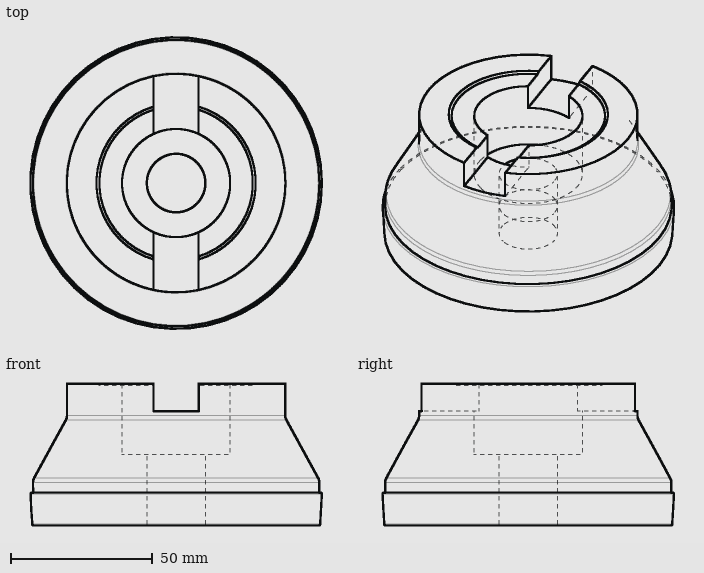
import cadquery as cq
import math

OUTER_DIAMETER = 102.7
TOTAL_HEIGHT = 50.0

BASE_HEIGHT = 11.6
BASE_BOTTOM_DIAMETER = 101.5
BASE_EDGE_RADIUS = 0.5

SKIRT_DIAMETER = 100.9
CONE_BOTTOM = 16.0
CONE_TOP = 37.9
NECK_DIAMETER = 77.0
CONE_BLEND_RADIUS = 3.1

BORE_DIAMETER = 20.5
COUNTERBORE_DIAMETER = 38.1
COUNTERBORE_FLOOR = 25.0
RECESS_TOP_DIAMETER = 56.1
RECESS_FLOOR_DIAMETER = 54.0
RECESS_DEPTH = 0.6
SLOT_WIDTH = 15.8
SLOT_FLOOR = 40.3


def cylinder(diameter, bottom, top):
    """Solid cylinder on the Z axis between two heights."""
    return cq.Workplane("XY").workplane(offset=bottom).circle(diameter / 2).extrude(top - bottom)


def revolve_profile(points):
    """Revolve a closed (radius, height) outline about the Z axis."""
    return cq.Workplane("XZ").polyline(points).close().revolve(360, (0, 0), (0, 1))


def make_base():
    """Disc that widens towards its top, with rounded rims and a central bore."""
    bottom_radius = BASE_BOTTOM_DIAMETER / 2
    top_radius = OUTER_DIAMETER / 2
    arc_inset = BASE_EDGE_RADIUS * (1 - math.sqrt(0.5))
    outline = (
        cq.Workplane("XZ")
        .lineTo(bottom_radius - BASE_EDGE_RADIUS, 0)
        .threePointArc((bottom_radius - arc_inset, arc_inset), (bottom_radius, BASE_EDGE_RADIUS))
        .lineTo(top_radius, BASE_HEIGHT - BASE_EDGE_RADIUS)
        .threePointArc(
            (top_radius - arc_inset, BASE_HEIGHT - arc_inset),
            (top_radius - BASE_EDGE_RADIUS, BASE_HEIGHT),
        )
        .lineTo(0, BASE_HEIGHT)
        .close()
    )
    disc = outline.revolve(360, (0, 0), (0, 1))
    return disc.cut(cylinder(BORE_DIAMETER, 0, BASE_HEIGHT))


def make_hub_blank():
    """Skirt, cone and neck, with rounded transitions at both ends of the cone."""
    blank = revolve_profile([
        (0, BASE_HEIGHT),
        (SKIRT_DIAMETER / 2, BASE_HEIGHT),
        (SKIRT_DIAMETER / 2, CONE_BOTTOM),
        (NECK_DIAMETER / 2, CONE_TOP),
        (NECK_DIAMETER / 2, TOTAL_HEIGHT),
        (0, TOTAL_HEIGHT),
    ])
    cone_edges = blank.faces("%CONE").edges("%CIRCLE")
    return cone_edges.fillet(CONE_BLEND_RADIUS)


def make_face_recess():
    """Shallow conical-sided recess in the top face."""
    recess_floor = TOTAL_HEIGHT - RECESS_DEPTH
    return revolve_profile([
        (0, recess_floor),
        (RECESS_FLOOR_DIAMETER / 2, recess_floor),
        (RECESS_TOP_DIAMETER / 2, TOTAL_HEIGHT),
        (0, TOTAL_HEIGHT),
    ])


def make_drive_slot():
    """Slot running across the whole neck along Y."""
    slot = cq.Workplane("XY").workplane(offset=SLOT_FLOOR)
    return slot.rect(SLOT_WIDTH, NECK_DIAMETER).extrude(TOTAL_HEIGHT - SLOT_FLOOR)


def make_hub():
    """Conical hub with a stepped bore, a face recess and a drive slot."""
    hub = make_hub_blank()
    hub = hub.cut(cylinder(BORE_DIAMETER, BASE_HEIGHT, TOTAL_HEIGHT))
    hub = hub.cut(cylinder(COUNTERBORE_DIAMETER, COUNTERBORE_FLOOR, TOTAL_HEIGHT))
    hub = hub.cut(make_face_recess())
    return hub.cut(make_drive_slot())


base = make_base()
hub = make_hub()
result = cq.Compound.makeCompound([base.val(), hub.val()])